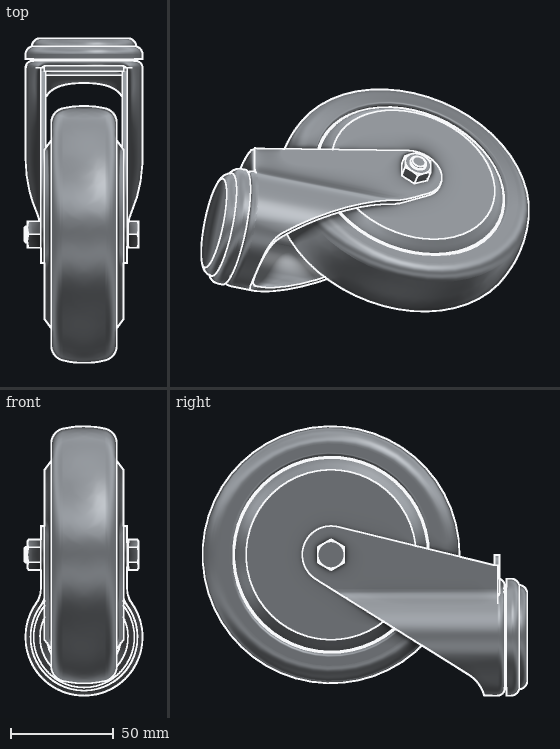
import cadquery as cq
import math


wheel_radius = 62.5
axle_y = -95.36
axle_z = 40.0
tyre_half_width = 16.0
crown_half_width = 10.5
crown_edge_radius = 61.3
shoulder_radius = 54.0
tyre_lip_radius = 49.7
lip_round = 2.0
groove_floor_x = tyre_half_width - lip_round
rim_radius = 94.0 / 2
rim_edge_half_width = 15.0
hub_half_width = 19.2
hub_face_radius = 41.3

bolt_diameter = 8.0
bolt_hole_diameter = 8.1
bolt_tip_x = -29.0
bolt_tip_chamfer = 0.8
hex_across_flats = 13.0
hex_across_corners = hex_across_flats / math.cos(math.pi / 6)
hex_chamfer_angle = math.radians(30)
nut_height = 6.5
bolt_head_height = 5.0
washer_face_diameter = 12.0
washer_face_height = 0.5

sheet = 2.5
fork_radius = 57.0 / 2
cheek_half_width = 21.0
neck_radius = 12.0
cheek_end_radius = 14.0
fork_length = 100.0
tab_radius = 40.0
dish_back_y = -11.0
dish_front_y = dish_back_y - sheet
tab_back_y = dish_front_y
tab_front_y = tab_back_y - sheet
bend_radius = 3.5
bend_end_y = dish_back_y - bend_radius
cheek_back_z = 35.0
mouth_y = -21.0
brace_y, brace_z = -28.5, -18.3

cap_radius = 22.0
cap_edge_radius = 25.5
cap_depth = 4.0
race_radius = fork_radius
race_round_end_y = -7.7
race_front_y = -10.2
neck_groove_radius = 24.5
bearing_radius = 49.0 / 2
bearing_front_y = -18.0
bearing_recess_radius = 21.4
bearing_recess_floor_radius = 18.0
bearing_recess_depth = 3.0


def along_y(sketch_y):
    """Workplane whose local axes are X and Z; positive extrusion runs towards -Y."""
    return cq.Workplane("XZ", origin=(0, sketch_y, 0))


def along_x(start_x):
    """Workplane across the wheel axle; positive extrusion runs towards +X."""
    return cq.Workplane("YZ", origin=(start_x, axle_y, axle_z))


def turned_about_axle(section):
    """Revolve a closed section, drawn as (distance along axle, radius), about the axle."""
    return section.close().revolve(360, (0, 0, 0), (1, 0, 0))


def make_tyre():
    """Tyre body with a crowned tread and rounded shoulders, solid down to the axle."""
    shoulder_width = tyre_half_width - crown_half_width
    shoulder_height = crown_edge_radius - shoulder_radius
    shoulder_round = (shoulder_width ** 2 + shoulder_height ** 2) / (2 * shoulder_width)
    return turned_about_axle(
        cq.Workplane("XY")
        .moveTo(-tyre_half_width, 0)
        .lineTo(-tyre_half_width, shoulder_radius)
        .radiusArc((-crown_half_width, crown_edge_radius), shoulder_round)
        .threePointArc((0, wheel_radius), (crown_half_width, crown_edge_radius))
        .radiusArc((tyre_half_width, shoulder_radius), shoulder_round)
        .lineTo(tyre_half_width, 0)
    )


def make_side_recess():
    """Space inside the rounded lip of the tyre, on the +X side."""
    return turned_about_axle(
        cq.Workplane("XY")
        .moveTo(groove_floor_x, 0)
        .lineTo(groove_floor_x, tyre_lip_radius - lip_round)
        .radiusArc((tyre_half_width, tyre_lip_radius), -lip_round)
        .lineTo(tyre_half_width, 0)
    )


def make_rim_disc():
    """Coned disc that fills the recess up to a narrow groove, on the +X side."""
    return turned_about_axle(
        cq.Workplane("XY")
        .moveTo(groove_floor_x, 0)
        .lineTo(groove_floor_x, rim_radius)
        .lineTo(rim_edge_half_width, rim_radius)
        .lineTo(hub_half_width, hub_face_radius)
        .lineTo(hub_half_width, 0)
    )


def make_wheel():
    recess = make_side_recess()
    rim_disc = make_rim_disc()
    wheel = make_tyre().cut(recess).cut(recess.mirror("YZ"))
    wheel = wheel.union(rim_disc).union(rim_disc.mirror("YZ"))
    wheel = wheel.translate((0, axle_y, axle_z))
    bore = along_x(-hub_half_width).circle(bolt_hole_diameter / 2).extrude(2 * hub_half_width)
    return wheel.cut(bore)


def chamfered_hex(height):
    """Hexagon standing on z = 0 with its top corners turned off by a cone."""
    corner_radius = hex_across_corners / 2
    flat_radius = hex_across_flats / 2
    drop = (corner_radius - flat_radius) * math.tan(hex_chamfer_angle)
    turned = (
        cq.Workplane("XZ")
        .lineTo(corner_radius, 0)
        .lineTo(corner_radius, height - drop)
        .lineTo(flat_radius, height)
        .lineTo(0, height)
        .close()
        .revolve(360, (0, 0, 0), (0, 1, 0))
    )
    hexagon = (
        cq.Workplane("XY")
        .polygon(6, hex_across_corners)
        .extrude(height)
    )
    return hexagon.intersect(turned)


def make_axle():
    """Bolt with its head on +X and its nut on -X."""
    head_x = cheek_half_width + washer_face_height
    shank = (
        along_x(bolt_tip_x)
        .circle(bolt_diameter / 2)
        .extrude(head_x - bolt_tip_x)
        .faces("<X")
        .chamfer(bolt_tip_chamfer)
    )
    washer_face = along_x(cheek_half_width).circle(washer_face_diameter / 2).extrude(washer_face_height)

    def place(hexagon, x, turn):
        return hexagon.rotate((0, 0, 0), (0, 1, 0), turn).translate((x, axle_y, axle_z))

    head = place(chamfered_hex(bolt_head_height), head_x, 90)
    nut = place(chamfered_hex(nut_height), -cheek_half_width, -90)
    return shank.union(washer_face).union(head).union(nut)


def fork_section(inset):
    """Section of the fork across Y: a round bottom that necks in to two upright cheeks."""
    radius = fork_radius - inset
    half_width = cheek_half_width - inset
    bend = neck_radius + inset
    centre_x = half_width + bend
    centre_distance = radius + bend
    centre_z = math.sqrt(centre_distance ** 2 - centre_x ** 2)
    touch_x = radius * centre_x / centre_distance
    touch_z = radius * centre_z / centre_distance
    mid_angle = math.pi + math.atan2(centre_z, centre_x) / 2
    bend_x = centre_x + bend * math.cos(mid_angle)
    bend_z = centre_z + bend * math.sin(mid_angle)
    top_z = axle_z + wheel_radius
    return (
        along_y(bend_end_y)
        .moveTo(-half_width, top_z)
        .lineTo(-half_width, centre_z)
        .threePointArc((-bend_x, bend_z), (-touch_x, touch_z))
        .threePointArc((0, -radius), (touch_x, touch_z))
        .threePointArc((bend_x, bend_z), (half_width, centre_z))
        .lineTo(half_width, top_z)
        .close()
    )


def tangent_point(y, z, side):
    """Point where a line from (y, z) touches the rounded cheek end; side is +1 above, -1 below."""
    dy = y - axle_y
    dz = z - axle_z
    swing = math.acos(cheek_end_radius / math.hypot(dy, dz))
    angle = math.atan2(dz, dy) + side * swing
    return axle_y + cheek_end_radius * math.cos(angle), axle_z + cheek_end_radius * math.sin(angle)


def fork_side():
    """Side outline of the fork, extruded across its whole width."""
    upper = tangent_point(tab_front_y, cheek_back_z, 1)
    lower = tangent_point(brace_y, brace_z, -1)
    return (
        cq.Workplane("YZ")
        .moveTo(bend_end_y, cheek_back_z)
        .lineTo(tab_front_y, cheek_back_z)
        .lineTo(*upper)
        .threePointArc((axle_y - cheek_end_radius, axle_z), lower)
        .lineTo(brace_y, brace_z)
        .tangentArcPoint((mouth_y, -fork_radius), relative=False)
        .lineTo(mouth_y, -tab_radius)
        .lineTo(bend_end_y, -tab_radius)
        .close()
        .extrude(tab_radius, both=True)
    )


def make_head():
    """Swivel head and the dished back of the fork, turned about the swivel axis."""
    return (
        cq.Workplane(cq.Plane(origin=(0, 0, 0), xDir=(0, 0, -1), normal=(1, 0, 0)))
        .lineTo(cap_radius, 0)
        .threePointArc((24.3, -1.4), (cap_edge_radius, -cap_depth))
        .threePointArc((27.5, -5.3), (race_radius, race_round_end_y))
        .lineTo(race_radius, race_front_y)
        .lineTo(neck_groove_radius, race_front_y)
        .lineTo(neck_groove_radius, dish_back_y)
        .lineTo(fork_radius - bend_radius, dish_back_y)
        .radiusArc((fork_radius, bend_end_y), bend_radius)
        .lineTo(fork_radius - sheet, bend_end_y)
        .lineTo(fork_radius - sheet, dish_front_y)
        .lineTo(bearing_radius, dish_front_y)
        .lineTo(bearing_radius, bearing_front_y)
        .lineTo(bearing_recess_radius, bearing_front_y)
        .lineTo(bearing_recess_floor_radius, bearing_front_y + bearing_recess_depth)
        .lineTo(0, bearing_front_y + bearing_recess_depth)
        .close()
        .revolve(360, (0, 0, 0), (0, 1, 0))
    )


def make_back_plate():
    """Upright plate between the cheeks with a round top and an opening for the dish."""
    plate = (
        along_y(tab_back_y)
        .center(0, tab_radius / 2)
        .rect(2 * cheek_half_width, tab_radius)
        .extrude(sheet)
        .edges("|Z and >Y")
        .fillet(sheet * 0.99)
    )
    disc = along_y(tab_back_y).circle(tab_radius).circle(fork_radius - sheet).extrude(sheet)
    above = cq.Workplane("XY").box(100, 100, 100, centered=(True, True, False)).translate((0, 0, 16))
    return plate.intersect(disc).intersect(above)


def make_fork(wheel):
    axle_hole = along_x(-fork_radius).circle(bolt_hole_diameter / 2).extrude(2 * fork_radius)
    shell = (
        fork_section(0)
        .extrude(fork_length)
        .intersect(fork_side())
        .cut(fork_section(sheet).extrude(fork_length))
        .cut(axle_hole)
        .cut(wheel)
    )
    return shell.union(make_back_plate()).union(make_head(), clean=False)


wheel = make_wheel()
axle = make_axle()
fork = make_fork(wheel)
result = cq.Compound.makeCompound([*fork.vals(), *wheel.vals(), *axle.vals()])